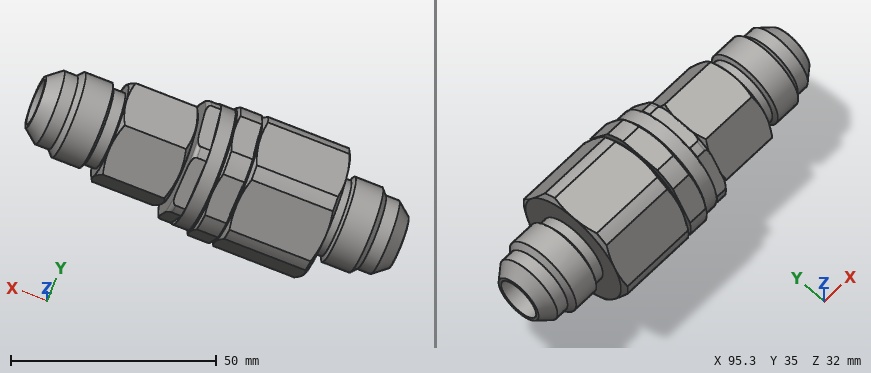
import cadquery as cq
import math

total_length = 95.3
bore_radius = 5.86

tip_radius = 6.8
nose_radius = 9.6
thread_radius = 11.1
neck_radius = 9.9
cone_end = 3.6
nose_end = 7.1
thread_start = 8.6
thread_end = 15.7
neck_start = 16.4

body_start = 19.2
body_end = 42.3
body_flats = 32.0
body_corner_radius = 17.48

lock_start = 42.8
lock_end = 49.0
lock_corner_radius = 17.01

groove_radius = 15.2

ring_start = 49.3
ring_end = 53.2
ring_radius = 15.7

thin_nut_end = 56.9
thin_nut_flats = 29.1
thin_nut_corner_radius = 16.0
thin_nut_rounding = 1.1

shaft_radius = 8.8

rear_start = 57.4
rear_end = 75.8
rear_flats = 24.0
rear_left_face_radius = 11.6

chamfer_slope = math.tan(math.radians(30))


def hexagon_corner_radius(flats):
    return flats / 2 / math.cos(math.radians(30))


def revolve_profile(outline):
    """Solid turned about X from (x, radius) points, closed along the axis."""
    first_x = outline[0][0]
    last_x = outline[-1][0]
    points = [(first_x, 0), *outline, (last_x, 0)]
    return cq.Workplane("XY").polyline(points).close().revolve(360, (0, 0, 0), (1, 0, 0))


def cylinder(start, end, radius):
    return revolve_profile([(start, radius), (end, radius)])


def chamfered_blank(start, end, corner_radius, left_face_radius, right_face_radius):
    """Turned blank whose ends taper at 30 degrees down to the given face radii."""
    return revolve_profile([
        (start, left_face_radius),
        (start + (corner_radius - left_face_radius) * chamfer_slope, corner_radius),
        (end - (corner_radius - right_face_radius) * chamfer_slope, corner_radius),
        (end, right_face_radius),
    ])


def hexagon(start, end, flats, blank):
    """Hexagonal prism with flats facing +Z and -Z, cut back to a turned blank."""
    corner_diameter = 2 * hexagon_corner_radius(flats)
    prism = (
        cq.Workplane("YZ", origin=(start, 0, 0))
        .polygon(6, corner_diameter)
        .extrude(end - start)
    )
    return prism.intersect(blank)


def male_end(inner_station):
    """Flared and threaded end with its tip at X = 0, reaching in to inner_station."""
    return revolve_profile([
        (0, tip_radius),
        (cone_end, nose_radius),
        (nose_end, nose_radius),
        (thread_start, thread_radius),
        (thread_end, thread_radius),
        (neck_start, neck_radius),
        (inner_station, neck_radius),
    ])


def body_hexagon():
    face_radius = body_flats / 2
    blank = chamfered_blank(body_start, body_end, body_corner_radius, face_radius, face_radius)
    return hexagon(body_start, body_end, body_flats, blank)


def lock_hexagon():
    face_radius = body_flats / 2
    chamfer = (lock_corner_radius - face_radius) * chamfer_slope
    blank = revolve_profile([
        (lock_start, lock_corner_radius),
        (lock_end - chamfer, lock_corner_radius),
        (lock_end, face_radius),
    ])
    return hexagon(lock_start, lock_end, body_flats, blank)


def thin_nut():
    blank = cylinder(ring_end, thin_nut_end, thin_nut_corner_radius)
    blank = blank.faces(">X").edges().fillet(thin_nut_rounding)
    return hexagon(ring_end, thin_nut_end, thin_nut_flats, blank)


def rear_hexagon():
    corner_radius = hexagon_corner_radius(rear_flats)
    right_face_radius = rear_flats / 2
    blank = chamfered_blank(
        rear_start, rear_end, corner_radius, rear_left_face_radius, right_face_radius
    )
    return hexagon(rear_start, rear_end, rear_flats, blank)


left_end = male_end(body_start)
right_end = male_end(total_length - rear_end).mirror("YZ").translate((total_length, 0, 0))

result = (
    left_end
    .union(body_hexagon())
    .union(cylinder(body_end, lock_start, groove_radius))
    .union(lock_hexagon())
    .union(cylinder(lock_end, ring_start, groove_radius))
    .union(cylinder(ring_start, ring_end, ring_radius))
    .union(thin_nut())
    .union(cylinder(thin_nut_end, rear_start, shaft_radius))
    .union(rear_hexagon())
    .union(right_end)
    .cut(cylinder(0, total_length, bore_radius))
)